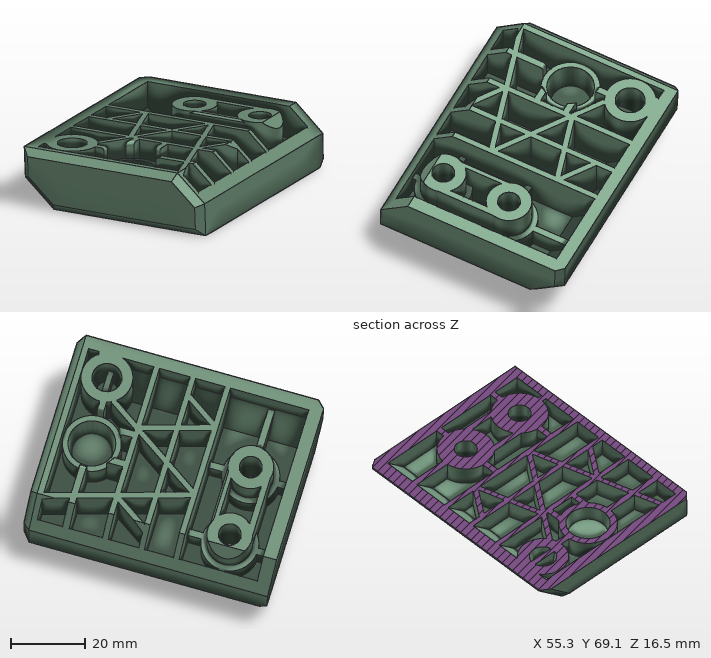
import cadquery as cq
import math

width = 55.3
length = 69.1
height = 16.5
top = height / 2
bottom = -top
side_draft = 0.3
end_draft = 0.3
slant_run = 8.7
left_knee_z = -0.35
right_knee_z = 0.8
top_edge_x = 19.15
edge_chamfer = 2.0

pocket_left = -24.2
pocket_right = 24.65
pocket_front = -30.9
pocket_back = 30.8
floor_z = -5.25
floor_slant_x = -17.35

screw_spacing = 19.95
screw_x = -4.2
screw_y = 20.45
screw_centers = [(screw_x, screw_y), (screw_x + screw_spacing, screw_y)]
screw_hole_radius = 3.05
screw_boss_radius = 6.15
collar_radius = 7.8
collar_top = 0.7
web_outer = 5.95
web_inner = 4.2
web_chamfer = 0.55

big_socket = (-0.1, -22.9)
big_socket_radius = 6.4
big_boss_radius = 7.95
big_boss_top = 3.7
small_socket = (-17.7, -23.8)
small_socket_radius = 4.0
small_boss_radius = 7.0
wall_fill_y = -27.9
small_taper_top = 2.1
socket_floor = -3.8
socket_taper = 1.05
socket_bar_width = 1.6

rib_width = 1.6
boss_rib_width = 1.85
cross_rib_ys = [8.1, -1.65, -11.8]
steep_slope = 0.297
shallow_slope = 0.68
steep_x = -9.4
shallow_x = -19.15
rib_end_radius = 1.0
socket_rib_xs = [screw_x, 4.5]
shallow_rib_end_y = -20.7


def bar(x0, x1, y0, y1, z0, z1):
    """Box between two opposite corners."""
    return cq.Workplane("XY").box(x1 - x0, y1 - y0, z1 - z0, centered=False).translate((x0, y0, z0))


def cylinder(center, radius, z0, z1):
    return cq.Workplane("XY", origin=(*center, z0)).circle(radius).extrude(z1 - z0)


def make_block():
    left, right = -width / 2, width / 2
    slant_left = left + side_draft
    section = [
        (left, top),
        (slant_left, left_knee_z),
        (slant_left + slant_run, bottom),
        (right, bottom),
        (right - side_draft, right_knee_z),
        (top_edge_x, top),
    ]
    prism = cq.Workplane("XZ").polyline(section).close().extrude(length, both=True)
    half = length / 2
    front_top = half + end_draft * edge_chamfer / height
    side_view = [
        (-front_top, top),
        (half, top),
        (half - end_draft, bottom),
        (end_draft - front_top, bottom),
    ]
    ends = cq.Workplane("YZ").polyline(side_view).close().extrude(width, both=True)
    block = prism.intersect(ends)
    front_edges = block.faces("<Y").edges().vals()
    back_edges = []
    for edge in block.faces(">Y").edges().vals():
        middle = edge.Center()
        if middle.z < left_knee_z and middle.x < right - edge_chamfer:
            back_edges.append(edge)
        elif middle.x < slant_left:
            back_edges.append(edge)
    return block.newObject(front_edges + back_edges).chamfer(edge_chamfer)


def make_pocket():
    """Pocket volume; its floor climbs at the left, parallel to the slanted outside."""
    climb = (left_knee_z - bottom) / slant_run * (floor_slant_x - pocket_left)
    section = [
        (pocket_left, top),
        (pocket_left, floor_z + climb),
        (floor_slant_x, floor_z),
        (pocket_right, floor_z),
        (pocket_right, top),
    ]
    plane = cq.Workplane("XZ", origin=(0, pocket_front, 0))
    return plane.polyline(section).close().extrude(pocket_front - pocket_back)


def slanted_rib(x_middle, x_per_y, y0, y1):
    """Rib crossing the middle cross rib at x_middle, running from y0 to y1."""
    half = rib_width / 2 * math.hypot(1, x_per_y)
    x0 = x_middle + x_per_y * (y0 - cross_rib_ys[1])
    x1 = x_middle + x_per_y * (y1 - cross_rib_ys[1])
    outline = [(x0 - half, y0), (x0 + half, y0), (x1 + half, y1), (x1 - half, y1)]
    return cq.Workplane("XY", origin=(0, 0, floor_z)).polyline(outline).close().extrude(top - floor_z)


def make_tall_ribs():
    upper, middle, lower = cross_rib_ys
    half_boss_rib = boss_rib_width / 2
    ribs = [
        bar(pocket_left, pocket_right, y - rib_width / 2, y + rib_width / 2, bottom, top)
        for y in cross_rib_ys
    ]
    ribs.append(slanted_rib(steep_x, -steep_slope, lower, upper))
    ribs.append(slanted_rib(steep_x + screw_spacing, -steep_slope, pocket_front, upper))
    ribs.append(slanted_rib(shallow_x, shallow_slope, middle, upper))
    ribs.append(slanted_rib(shallow_x + screw_spacing, shallow_slope, shallow_rib_end_y, upper))
    ribs.append(slanted_rib(shallow_x + 2 * screw_spacing, shallow_slope, lower, middle))
    y = big_socket[1]
    ribs.append(bar(small_socket[0], pocket_right, y - half_boss_rib, y + half_boss_rib, bottom, top))
    for rib_x in socket_rib_xs:
        ribs.append(bar(rib_x - half_boss_rib, rib_x + half_boss_rib, y, lower, bottom, top))
    joined = ribs[0]
    for rib in ribs[1:]:
        joined = joined.union(rib)
    return joined.cut(make_rib_clearance())


def make_rib_clearance():
    """Space kept free above the big boss; it flares at the top to round the rib ends."""
    r = rib_end_radius
    bend = r * (1 - math.sqrt(0.5))
    profile = (
        cq.Workplane("XZ", origin=(*big_socket, 0))
        .moveTo(0, big_boss_top)
        .lineTo(big_boss_radius, big_boss_top)
        .lineTo(big_boss_radius, top - r)
        .threePointArc((big_boss_radius + bend, top - bend), (big_boss_radius + r, top))
        .lineTo(0, top)
        .close()
    )
    return profile.revolve(360, (0, 0, 0), (0, 1, 0))


def make_screw_bosses():
    (x0, y), (x1, _) = screw_centers
    half = boss_rib_width / 2
    bosses = bar(pocket_left, x0, y - half, y + half, bottom, collar_top)
    bosses = bosses.union(bar(x1, pocket_right, y - half, y + half, bottom, collar_top))
    for center in screw_centers:
        x = center[0]
        bosses = bosses.union(bar(x - half, x + half, cross_rib_ys[0], pocket_back, bottom, collar_top))
        bosses = bosses.union(cylinder(center, collar_radius, bottom, collar_top))
        bosses = bosses.union(cylinder(center, screw_boss_radius, bottom, top))
    back_web = bar(x0, x1, y + web_inner, y + web_outer, bottom, top)
    front_web = bar(x0, x1, y - web_outer, y - web_inner, bottom, top)
    front_web = front_web.faces("<Y").edges(">Z").chamfer(web_chamfer)
    return bosses.union(back_web).union(front_web)


def make_socket(center, radius, taper_top):
    """Blind round hole, straight down to taper_top and narrowing below it."""
    profile = [
        (0, socket_floor),
        (radius - socket_taper, socket_floor),
        (radius, taper_top),
        (radius, top),
        (0, top),
    ]
    plane = cq.Workplane("XZ", origin=(*center, 0))
    return plane.polyline(profile).close().revolve(360, (0, 0, 0), (0, 1, 0))


def make_socket_bar():
    """Bar across the tapered part of the small socket."""
    x, y = small_socket
    r = small_socket_radius
    half = socket_bar_width / 2
    return bar(x - r, x + r, y - half, y + half, socket_floor, small_taper_top)


block = make_block()
inside = (
    make_tall_ribs()
    .union(make_screw_bosses())
    .union(cylinder(big_socket, big_boss_radius, bottom, big_boss_top))
    .union(cylinder(small_socket, small_boss_radius, bottom, top))
    .union(bar(pocket_left, small_socket[0], wall_fill_y, small_socket[1], bottom, top))
    .intersect(make_pocket())
    .intersect(block)
)
result = block.cut(make_pocket()).union(inside)
for screw_center in screw_centers:
    result = result.cut(cylinder(screw_center, screw_hole_radius, bottom, top))
result = result.cut(make_socket(big_socket, big_socket_radius, big_boss_top))
result = result.cut(make_socket(small_socket, small_socket_radius, small_taper_top))
result = result.union(make_socket_bar())